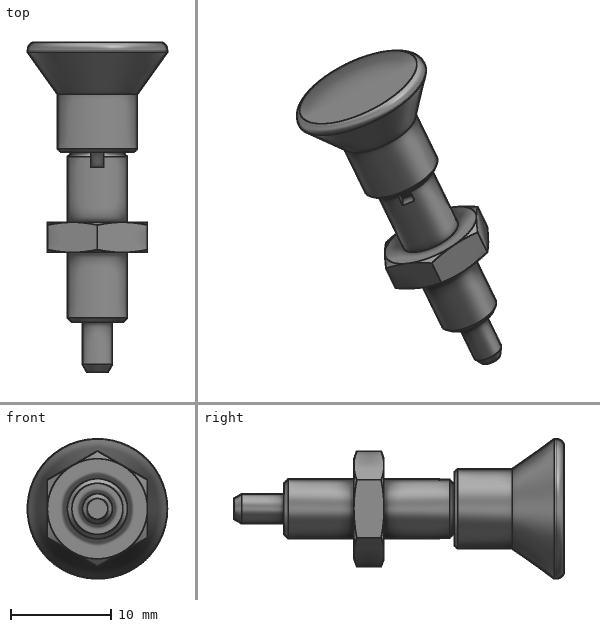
import cadquery as cq
import math


pin_dia = 3.0
pin_length = 5.0
pin_taper_length = 0.8
pin_taper_angle = 30.0

body_dia = 6.0
body_length = 17.0
body_chamfer = 0.45

slot_width = 1.3
slot_length = 1.5

nut_sides = 6
nut_width = 10.0
nut_thickness = 3.0
nut_front = 7.0
nut_chamfer_angle = 20.0

knob_length = 11.0
grip_dia = 8.0
grip_length = 5.8
grip_chamfer = 0.35
rim_dia = 14.0
rim_band = 0.2
rim_round_length = 0.8
rim_round_drop = 0.6


def revolve_about_y(profile):
    """Turn a profile drawn in XY (X = radius) around the Y axis."""
    return profile.close().revolve(360, (0, 0, 0), (0, 1, 0))


def make_pin():
    radius = pin_dia / 2
    tip_radius = radius - pin_taper_length * math.tan(math.radians(pin_taper_angle))
    profile = (
        cq.Workplane("XY")
        .moveTo(0, -pin_length)
        .lineTo(tip_radius, -pin_length)
        .lineTo(radius, -pin_length + pin_taper_length)
        .lineTo(radius, body_length)
        .lineTo(0, body_length)
    )
    return revolve_about_y(profile)


def make_body():
    radius = body_dia / 2
    end_radius = radius - body_chamfer
    profile = (
        cq.Workplane("XY")
        .lineTo(end_radius, 0)
        .lineTo(radius, body_chamfer)
        .lineTo(radius, body_length - body_chamfer)
        .lineTo(end_radius, body_length)
        .lineTo(0, body_length)
    )
    slot = cq.Workplane("XY").box(slot_width, slot_length, body_dia)
    slot = slot.translate((0, body_length - slot_length / 2, 0))
    return revolve_about_y(profile).cut(slot)


def make_nut():
    face_radius = nut_width / 2
    corner_radius = face_radius / math.cos(math.pi / nut_sides)
    chamfer_depth = (corner_radius - face_radius) * math.tan(math.radians(nut_chamfer_angle))
    nut_back = nut_front + nut_thickness
    hexagon = (
        cq.Workplane("XZ", origin=(0, nut_front, 0))
        .polygon(nut_sides, 2 * corner_radius)
        .extrude(-nut_thickness)
        .rotate((0, 0, 0), (0, 1, 0), 180 / nut_sides)
    )
    envelope = (
        cq.Workplane("XY")
        .moveTo(0, nut_front)
        .lineTo(face_radius, nut_front)
        .lineTo(corner_radius, nut_front + chamfer_depth)
        .lineTo(corner_radius, nut_back - chamfer_depth)
        .lineTo(face_radius, nut_back)
        .lineTo(0, nut_back)
    )
    return hexagon.intersect(revolve_about_y(envelope))


def make_knob():
    grip_radius = grip_dia / 2
    rim_radius = rim_dia / 2
    knob_back = body_length + knob_length
    band_back = knob_back - rim_round_length
    band_front = band_back - rim_band
    profile = (
        cq.Workplane("XY")
        .moveTo(0, body_length)
        .lineTo(grip_radius - grip_chamfer, body_length)
        .lineTo(grip_radius, body_length + grip_chamfer)
        .lineTo(grip_radius, body_length + grip_length)
        .lineTo(rim_radius, band_front)
        .lineTo(rim_radius, band_back)
        .tangentArcPoint((rim_radius - rim_round_drop, knob_back), relative=False)
        .lineTo(0, knob_back)
    )
    return revolve_about_y(profile)


result = make_body().union(make_pin()).union(make_nut()).union(make_knob())